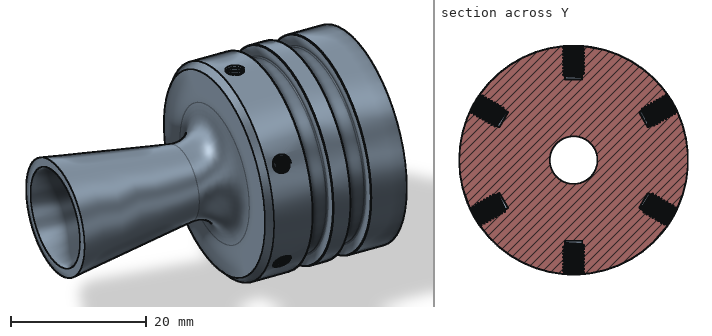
import cadquery as cq
import math

TOTAL_LENGTH = 49.75
BODY_RADIUS = 33.8 / 2
BODY_LENGTH = 23.2

CUT_MARGIN = 0.5

REAR_LAND = 6.0
GROOVE_WIDTH = 3.35
MIDDLE_LAND = 3.0
GROOVE_RADIUS = 30.0 / 2
GROOVE_TOP_FILLET = 0.1
GROOVE_ROOT_FILLET = 0.2
FRONT_CHAMFER = 1.0

NECK_RADIUS = 5.9
NECK_FILLET = 5.0
MOUTH_RADIUS = 9.2

BORE_RADIUS = 3.5
MOUTH_BORE_RADIUS = 7.75

HOLE_COUNT = 6
HOLE_SETBACK = 3.55
HOLE_DEPTH = 5.0
MINOR_RADIUS = 2.55 / 2
MAJOR_RADIUS = 3.1 / 2
THREAD_PITCH = 0.5
THREAD_CLEARANCE = 0.45
THREAD_START_ANGLE = 200
THREAD_FLANK_ANGLE = 30
THREAD_ROOT_FLAT = 0.06
THREAD_OVERLAP = 0.05

REAR_Y = TOTAL_LENGTH / 2
MOUTH_Y = REAR_Y - TOTAL_LENGTH
FRONT_Y = REAR_Y - BODY_LENGTH

FILLET_RADIAL = NECK_RADIUS + NECK_FILLET
FILLET_Y = FRONT_Y - NECK_FILLET


def cone_tilt():
    """Angle between the horn's outer generator and the centre line."""
    radial = FILLET_RADIAL - MOUTH_RADIUS
    axial = FILLET_Y - MOUTH_Y
    span = math.hypot(radial, axial)
    return math.asin(NECK_FILLET / span) - math.atan2(radial, axial)


def fillet_point(angle):
    """Point (radius, y) on the neck fillet, measured from its narrowest place towards the mouth."""
    radius = FILLET_RADIAL - NECK_FILLET * math.cos(angle)
    return radius, FILLET_Y - NECK_FILLET * math.sin(angle)


TILT = cone_tilt()
CONE_START = fillet_point(TILT)


def make_solid_horn():
    """Body and horn as one turned solid, before grooves, bore and holes."""
    profile = (
        cq.Workplane("XY")
        .moveTo(0, REAR_Y)
        .lineTo(BODY_RADIUS, REAR_Y)
        .lineTo(BODY_RADIUS, FRONT_Y + FRONT_CHAMFER)
        .lineTo(BODY_RADIUS - FRONT_CHAMFER, FRONT_Y)
        .lineTo(FILLET_RADIAL, FRONT_Y)
        .threePointArc(fillet_point((TILT - math.pi / 2) / 2), CONE_START)
        .lineTo(MOUTH_RADIUS, MOUTH_Y)
        .lineTo(0, MOUTH_Y)
        .close()
    )
    return profile.revolve(360, (0, 0, 0), (0, 1, 0))


def make_groove(rear_y):
    """Ring that cuts one groove, with rounded rims and rounded root corners."""
    front_y = rear_y - GROOVE_WIDTH
    rim = BODY_RADIUS - GROOVE_TOP_FILLET
    root = GROOVE_RADIUS + GROOVE_ROOT_FILLET
    return (
        cq.Workplane("XY")
        .moveTo(BODY_RADIUS, rear_y + GROOVE_TOP_FILLET)
        .radiusArc((rim, rear_y), -GROOVE_TOP_FILLET)
        .lineTo(root, rear_y)
        .radiusArc((GROOVE_RADIUS, rear_y - GROOVE_ROOT_FILLET), -GROOVE_ROOT_FILLET)
        .lineTo(GROOVE_RADIUS, front_y + GROOVE_ROOT_FILLET)
        .radiusArc((root, front_y), -GROOVE_ROOT_FILLET)
        .lineTo(rim, front_y)
        .radiusArc((BODY_RADIUS, front_y - GROOVE_TOP_FILLET), -GROOVE_TOP_FILLET)
        .lineTo(BODY_RADIUS + CUT_MARGIN, front_y - GROOVE_TOP_FILLET)
        .lineTo(BODY_RADIUS + CUT_MARGIN, rear_y + GROOVE_TOP_FILLET)
        .close()
        .revolve(360, (0, 0, 0), (0, 1, 0))
    )


def make_bore():
    """Cone from the mouth to the neck, then a straight bore through the body."""
    return (
        cq.Workplane("XY")
        .moveTo(0, REAR_Y)
        .lineTo(BORE_RADIUS, REAR_Y)
        .lineTo(BORE_RADIUS, CONE_START[1])
        .lineTo(MOUTH_BORE_RADIUS, MOUTH_Y)
        .lineTo(0, MOUTH_Y)
        .close()
        .revolve(360, (0, 0, 0), (0, 1, 0))
    )


def make_drill(floor, y):
    """Plain flat-bottomed hole at the thread's minor diameter."""
    return (
        cq.Workplane("XY", origin=(0, y, floor))
        .circle(MINOR_RADIUS)
        .extrude(HOLE_DEPTH + CUT_MARGIN)
    )


def make_thread(floor, y):
    """Helical V groove of one hole; it starts above the floor and runs out through the outer surface."""
    start = floor + THREAD_CLEARANCE
    helix = cq.Wire.makeHelix(THREAD_PITCH, HOLE_DEPTH, MINOR_RADIUS)
    inner = MINOR_RADIUS - THREAD_OVERLAP
    half_root = THREAD_ROOT_FLAT / 2
    half_mouth = half_root + (MAJOR_RADIUS - inner) * math.tan(math.radians(THREAD_FLANK_ANGLE))
    groove = (
        cq.Workplane("XZ")
        .polyline([
            (inner, -half_mouth),
            (MAJOR_RADIUS, -half_root),
            (MAJOR_RADIUS, half_root),
            (inner, half_mouth),
        ])
        .close()
        .sweep(cq.Workplane(helix), isFrenet=True)
    )
    return groove.rotate((0, 0, 0), (0, 0, 1), THREAD_START_ANGLE).translate((0, y, start))


body = make_solid_horn()
first_groove_y = REAR_Y - REAR_LAND
second_groove_y = first_groove_y - GROOVE_WIDTH - MIDDLE_LAND
for groove_y in (first_groove_y, second_groove_y):
    body = body.cut(make_groove(groove_y))
body = body.cut(make_bore())

hole_floor = BODY_RADIUS - HOLE_DEPTH
hole_y = FRONT_Y + HOLE_SETBACK
tapped_hole = make_drill(hole_floor, hole_y).union(make_thread(hole_floor, hole_y))
for index in range(HOLE_COUNT):
    body = body.cut(tapped_hole.rotate((0, 0, 0), (0, 1, 0), index * 360 / HOLE_COUNT))

result = body